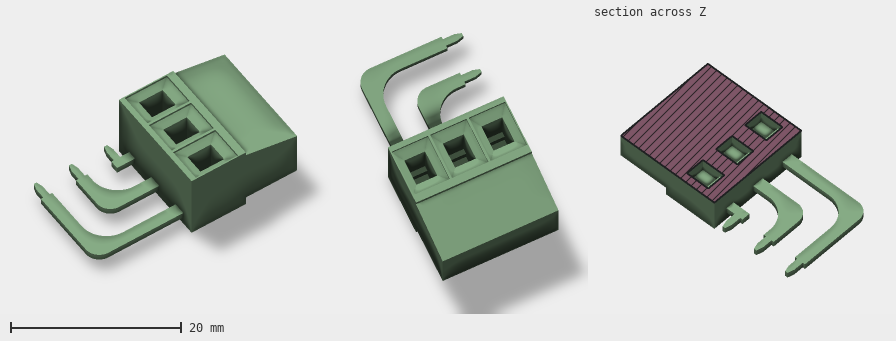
import cadquery as cq

pitch = 5.0
pole_count = 3
housing_width = pitch * pole_count
housing_depth = 15.0
housing_height = 9.5
step_y = 7.7
rear_bottom_z = 1.2
rear_top_z = 7.5
slope_top_z = 9.0

opening_width = 4.7
opening_front_y = 0.7
opening_back_y = 6.7
rim_depth = 0.3
shaft_width = 2.7
shaft_front_y = 2.05
shaft_back_y = 5.4
funnel_depth = 0.5
shaft_floor_z = 3.0
ledge_z = 4.0
ledge_back_y = 2.7

pin_bottom_z = 1.1
pin_thickness = 0.85
pin_width = 1.6
first_pin_width = 1.2
pin_start_x = 2.1
outer_bend_radius = 1.9
inner_bend_radius = outer_bend_radius + pin_width
first_leg_y = -2.54
first_tail_y = first_leg_y + pin_width / 2
tail_width = 0.9
tail_tip_width = 0.4
tail_tip_x = -0.24
taper_start_x = 0.65


def make_housing():
    """Stepped side profile extruded across all poles."""
    profile = [
        (0, 0),
        (step_y, 0),
        (step_y, rear_bottom_z),
        (housing_depth, rear_bottom_z),
        (housing_depth, rear_top_z),
        (step_y, slope_top_z),
        (step_y, housing_height),
        (0, housing_height),
    ]
    return cq.Workplane("YZ").polyline(profile).close().extrude(housing_width)


def pocket(center_x, width, front_y, back_y, bottom_z, top_z):
    """Rectangular block, centred in X on one pole."""
    return (
        cq.Workplane("XY", origin=(center_x, front_y, bottom_z))
        .box(width, back_y - front_y, top_z - bottom_z, centered=(True, False, False))
    )


def make_opening(pole):
    """Volume removed for one screw opening."""
    center_x = (pole + 0.5) * pitch
    rim_z = housing_height - rim_depth
    funnel_z = rim_z - funnel_depth
    rim = pocket(center_x, opening_width, opening_front_y, opening_back_y, rim_z, housing_height)
    opening_center_y = (opening_front_y + opening_back_y) / 2
    shaft_center_y = (shaft_front_y + shaft_back_y) / 2
    funnel = (
        cq.Workplane("XY", origin=(center_x, opening_center_y, rim_z))
        .rect(opening_width, opening_back_y - opening_front_y)
        .workplane(offset=-funnel_depth)
        .center(0, shaft_center_y - opening_center_y)
        .rect(shaft_width, shaft_back_y - shaft_front_y)
        .loft(ruled=True)
    )
    deep_shaft = pocket(center_x, shaft_width, ledge_back_y, shaft_back_y, shaft_floor_z, funnel_z)
    ledge_shaft = pocket(center_x, shaft_width, shaft_front_y, ledge_back_y, ledge_z, funnel_z)
    return rim.union(funnel).union(deep_shaft).union(ledge_shaft)


def extrude_pin(outline):
    """Close a pin outline and give it the sheet thickness."""
    return outline.close().extrude(pin_thickness)


def pin_plane():
    """Workplane at the underside of the pins."""
    return cq.Workplane("XY", origin=(0, 0, pin_bottom_z))


def make_tail(pole):
    """Narrow solder tail with a straight-tapered tip pointing toward -X."""
    y = first_tail_y - pole * pitch
    half = tail_width / 2
    half_tip = tail_tip_width / 2
    outline = pin_plane().polyline([
        (pin_start_x, y + half),
        (taper_start_x, y + half),
        (tail_tip_x, y + half_tip),
        (tail_tip_x, y - half_tip),
        (taper_start_x, y - half),
        (pin_start_x, y - half),
    ])
    return extrude_pin(outline)


def make_first_pin():
    """Short straight pin of the first pole."""
    end_x = pin_start_x + first_pin_width
    outline = pin_plane().polyline([
        (pin_start_x, 0),
        (end_x, 0),
        (end_x, first_leg_y),
        (pin_start_x, first_leg_y),
    ])
    return extrude_pin(outline)


def make_bent_pin(pole):
    """L-shaped pin with a rounded elbow."""
    right_x = (pole + 0.5) * pitch + pin_width / 2
    left_x = right_x - pin_width
    bottom_y = first_leg_y - pole * pitch
    top_y = bottom_y + pin_width
    outline = (
        pin_plane()
        .moveTo(left_x, 0)
        .lineTo(right_x, 0)
        .lineTo(right_x, bottom_y + outer_bend_radius)
        .radiusArc((right_x - outer_bend_radius, bottom_y), outer_bend_radius)
        .lineTo(pin_start_x, bottom_y)
        .lineTo(pin_start_x, top_y)
        .lineTo(left_x - inner_bend_radius, top_y)
        .radiusArc((left_x, top_y + inner_bend_radius), -inner_bend_radius)
    )
    return extrude_pin(outline)


result = make_housing()
for pole in range(pole_count):
    result = result.cut(make_opening(pole))
    pin = make_first_pin() if pole == 0 else make_bent_pin(pole)
    result = result.union(pin).union(make_tail(pole))